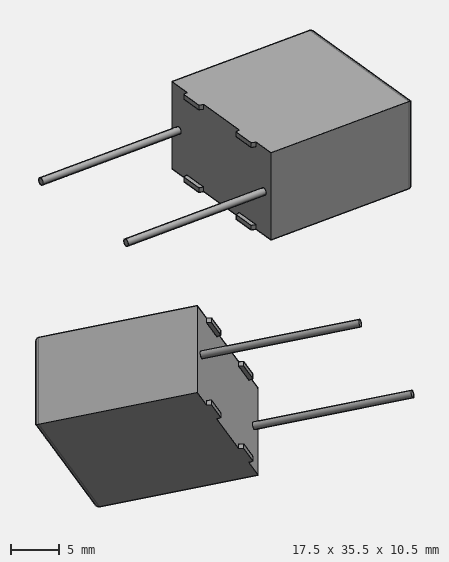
import cadquery as cq

total_length = 35.5
width = 17.5
height = 10.5

box_length = 18.0
rear_edge_radius = 0.5

foot_base_width = 2.98
foot_tip_width = 2.65
foot_length = 0.5
foot_height = 0.57
foot_spacing = 9.23

lead_diameter = 0.8
lead_pitch = 15.0
lead_length = total_length - box_length


def make_foot(center_x, bottom_z):
    """Foot that tapers in X as it projects forward from the front face."""
    return (
        cq.Workplane("XY", origin=(center_x, 0, bottom_z))
        .moveTo(-foot_base_width / 2, 0)
        .lineTo(-foot_tip_width / 2, -foot_length)
        .lineTo(foot_tip_width / 2, -foot_length)
        .lineTo(foot_base_width / 2, 0)
        .close()
        .extrude(foot_height)
    )


def make_housing():
    """Box with rounded rear edges and four feet on its front face."""
    body = (
        cq.Workplane("XY")
        .box(width, box_length, height, centered=(True, False, True))
        .faces(">Y")
        .edges()
        .fillet(rear_edge_radius)
    )
    for center_x in (-foot_spacing / 2, foot_spacing / 2):
        for bottom_z in (-height / 2, height / 2 - foot_height):
            body = body.union(make_foot(center_x, bottom_z))
    return body


def make_lead(center_x):
    """Straight round wire that butts against the front face."""
    return (
        cq.Workplane("XZ", origin=(center_x, 0, 0))
        .circle(lead_diameter / 2)
        .extrude(lead_length)
    )


housing = make_housing()
leads = [make_lead(center_x) for center_x in (-lead_pitch / 2, lead_pitch / 2)]

result = cq.Compound.makeCompound([housing.val(), *[lead.val() for lead in leads]])